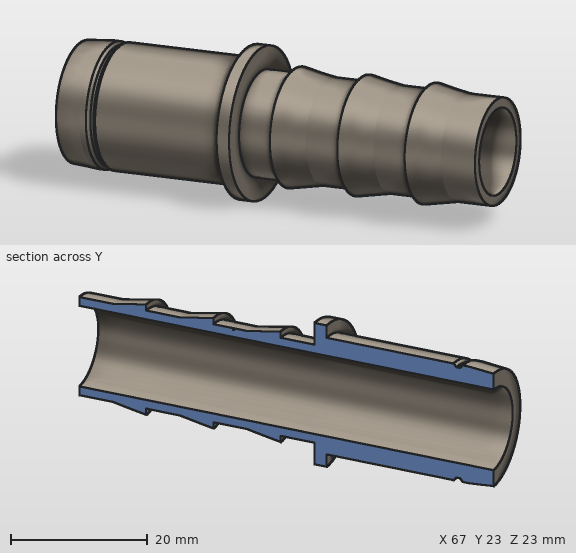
import cadquery as cq

total_length = 67.0
bore_diameter = 13.0

spigot_diameter = 19.0
nose_diameter = 18.3
nose_length = 4.0
groove_start = 5.0
groove_width = 1.5
groove_depth = 0.5
groove_floor_width = 0.5

collar_diameter = 23.0
collar_start = 27.0
collar_width = 2.0

tail_diameter = 16.0
barb_diameter = 18.0
barb_count = 3

collar_end = collar_start + collar_width
tail_length = total_length - collar_end
barb_length = tail_length / (2 * barb_count + 1)
barb_pitch = 2 * barb_length


def revolve_about_x(points):
    """Revolve a closed (x, radius) outline through a full turn about the X axis."""
    return cq.Workplane("XZ").polyline(points).close().revolve(360, (0, 0, 0), (1, 0, 0))


def make_cylinder(start, length, diameter):
    """Solid cylinder along X, beginning at the given X position."""
    end = start + length
    radius = diameter / 2
    return revolve_about_x([(start, 0), (start, radius), (end, radius), (end, 0)])


def make_spigot():
    """Cylinder with a tapered nose and a groove with sloping flanks."""
    radius = spigot_diameter / 2
    flank_width = (groove_width - groove_floor_width) / 2
    floor_start = groove_start + flank_width
    floor_end = floor_start + groove_floor_width
    floor_radius = radius - groove_depth
    return revolve_about_x([
        (0, 0),
        (0, nose_diameter / 2),
        (nose_length, radius),
        (groove_start, radius),
        (floor_start, floor_radius),
        (floor_end, floor_radius),
        (groove_start + groove_width, radius),
        (collar_start, radius),
        (collar_start, 0),
    ])


def make_barb(start):
    """Cone with a square shoulder toward the collar, tapering down to the tail."""
    end = start + barb_length
    return revolve_about_x([
        (start, 0),
        (start, barb_diameter / 2),
        (end, tail_diameter / 2),
        (end, 0),
    ])


body = make_spigot()
body = body.union(make_cylinder(collar_start, collar_width, collar_diameter))
body = body.union(make_cylinder(collar_end, tail_length, tail_diameter))
for index in range(barb_count):
    body = body.union(make_barb(collar_end + barb_length + index * barb_pitch))

result = body.cut(make_cylinder(0, total_length, bore_diameter))